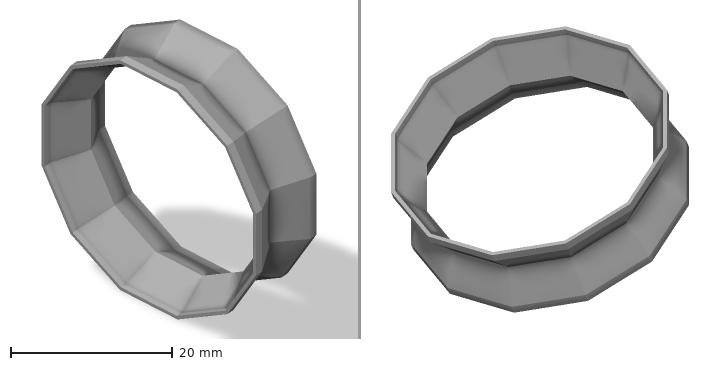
import cadquery as cq
import math

sides = 12
outer_width = 35.27
ring_length = 11.4
rim_length = 1.15
groove_slope = 30.0
wall = 0.5

half_length = ring_length / 2
slope = math.radians(groove_slope)

outer_apothem = outer_width / 2
groove_run = half_length - rim_length
throat_apothem = outer_apothem - groove_run * math.tan(slope)

bore_apothem = outer_apothem - wall
bore_throat_apothem = throat_apothem - wall / math.cos(slope)
bore_run = (bore_apothem - bore_throat_apothem) / math.tan(slope)


def polygon_wire(apothem, y):
    """Regular polygon at height y along the axis, with flats facing X and Z."""
    radius = apothem / math.cos(math.pi / sides)
    points = []
    for i in range(sides):
        angle = (2 * i + 1) * math.pi / sides
        points.append(cq.Vector(radius * math.cos(angle), y, radius * math.sin(angle)))
    return cq.Wire.makePolygon(points, close=True)


def waisted_solid(end_apothem, waist_apothem, run):
    """Solid with straight ends that narrows to a waist at mid-length."""
    stations = [
        (end_apothem, -half_length),
        (end_apothem, -run),
        (waist_apothem, 0),
        (end_apothem, run),
        (end_apothem, half_length),
    ]
    wires = [polygon_wire(apothem, y) for apothem, y in stations]
    return cq.Workplane(obj=cq.Solid.makeLoft(wires, True))


outside = waisted_solid(outer_apothem, throat_apothem, groove_run)
bore = waisted_solid(bore_apothem, bore_throat_apothem, bore_run)

result = outside.cut(bore)